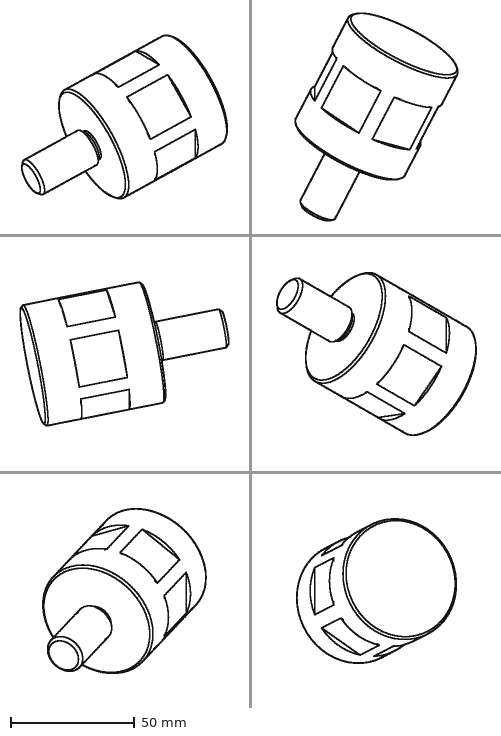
import cadquery as cq

total_length = 80.0
body_diameter = 50.0
body_length = 50.0
body_chamfer = 1.0

stud_diameter = 16.0
stud_tip_diameter = 13.4
stud_tip_chamfer_length = 1.3
neck_diameter = 13.0
neck_length = 1.0
neck_taper_length = 1.5

flat_count = 6
across_flats = 46.0
flat_length = 20.0

body_radius = body_diameter / 2
stud_radius = stud_diameter / 2
neck_radius = neck_diameter / 2
stud_tip_y = body_length - total_length
flat_distance = across_flats / 2


def make_body():
    """Chamfered cylinder from the stud shoulder at Y = 0 to Y = body_length."""
    cylinder = cq.Workplane("XZ").circle(body_radius).extrude(-body_length)
    return cylinder.faces("<Y or >Y").chamfer(body_chamfer)


def make_stud():
    """Stud along -Y: straight neck, taper, shank and chamfered tip."""
    return (
        cq.Workplane("XY")
        .moveTo(0, 0)
        .lineTo(neck_radius, 0)
        .lineTo(neck_radius, -neck_length)
        .lineTo(stud_radius, -neck_length - neck_taper_length)
        .lineTo(stud_radius, stud_tip_y + stud_tip_chamfer_length)
        .lineTo(stud_tip_diameter / 2, stud_tip_y)
        .lineTo(0, stud_tip_y)
        .close()
        .revolve(360, (0, 0, 0), (0, 1, 0))
    )


def make_flat_cutter(angle):
    """Block whose inner face is one wrench flat, turned about the Y axis."""
    cutter_depth = body_radius
    return (
        cq.Workplane("XY")
        .box(cutter_depth, flat_length, body_diameter)
        .translate((flat_distance + cutter_depth / 2, body_length / 2, 0))
        .rotate((0, 0, 0), (0, 1, 0), angle)
    )


result = make_body().union(make_stud())
for index in range(flat_count):
    result = result.cut(make_flat_cutter(index * 360 / flat_count))